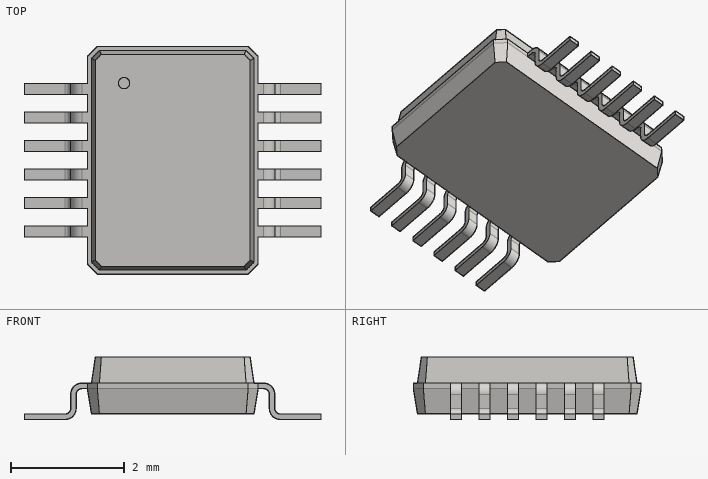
import cadquery as cq
import math

overall_span = 5.21
body_width = 3.0
body_length = 4.0
overall_height = 1.1
corner_cut = 0.175
cut_loss = 0.5

leads_per_side = 6
lead_pitch = 0.5
lead_width = 0.2
lead_thickness = 0.1
bend_inner_radius = 0.1
bend_outer_radius = bend_inner_radius + lead_thickness
shank_outer_x = 1.79
lead_top = 0.64

body_bottom = lead_thickness
band_top = lead_top
band_bottom = band_top - lead_thickness

ledge = 0.075
upper_draft = 0.07
lower_draft = 0.075
top_setback = ledge + upper_draft

mark_diameter = 0.2
mark_inset = 0.505
mark_depth = 0.045


def body_outline(level, setback):
    """Cut-corner rectangle at a height, with its sides set back from the band outline."""
    cut = corner_cut - setback * cut_loss
    half_x = body_width / 2 - setback
    half_y = body_length / 2 - setback
    return cq.Workplane("XY", origin=(0, 0, level)).polyline([
        (half_x, half_y - cut),
        (half_x - cut, half_y),
        (cut - half_x, half_y),
        (-half_x, half_y - cut),
        (-half_x, cut - half_y),
        (cut - half_x, -half_y),
        (half_x - cut, -half_y),
        (half_x, cut - half_y),
    ]).close()


def drafted_block(bottom, top, lower_setback, upper_setback):
    """Flat-sided block between two body outlines."""
    lower_wire = body_outline(bottom, lower_setback).val()
    upper_wire = body_outline(top, upper_setback).val()
    return cq.Workplane(obj=cq.Solid.makeLoft([lower_wire, upper_wire], True))


def make_body():
    """Lower half, straight middle band and stepped-in upper half."""
    lower = drafted_block(body_bottom, band_bottom, lower_draft, 0)
    band = body_outline(band_bottom, 0).extrude(lead_thickness)
    upper = drafted_block(band_top, overall_height, ledge, top_setback)
    return lower.union(band).union(upper)


def make_mark():
    """Shallow round pin 1 recess near the -X, +Y corner of the top face."""
    mark_x = top_setback + mark_inset - body_width / 2
    mark_y = body_length / 2 - top_setback - mark_inset
    return (
        cq.Workplane("XY", origin=(mark_x, mark_y, overall_height - mark_depth))
        .circle(mark_diameter / 2)
        .extrude(mark_depth)
    )


def make_lead(y_center):
    """Gull-wing lead on the +X side, ending under the wall of the upper half."""
    tip_x = overall_span / 2
    root_x = body_width / 2 - ledge
    shank_inner_x = shank_outer_x - lead_thickness
    foot_bend_x = shank_outer_x + bend_inner_radius
    shoulder_bend_x = shank_inner_x - bend_inner_radius
    foot_bend_z = bend_outer_radius
    shoulder_bend_z = lead_top - bend_outer_radius
    diagonal = math.sqrt(0.5)
    inner_mid = bend_inner_radius * diagonal
    outer_mid = bend_outer_radius * diagonal
    return (
        cq.Workplane("XZ", origin=(0, y_center, 0))
        .moveTo(root_x, lead_top)
        .lineTo(shoulder_bend_x, lead_top)
        .threePointArc(
            (shoulder_bend_x + outer_mid, shoulder_bend_z + outer_mid),
            (shank_outer_x, shoulder_bend_z),
        )
        .lineTo(shank_outer_x, foot_bend_z)
        .threePointArc(
            (foot_bend_x - inner_mid, foot_bend_z - inner_mid),
            (foot_bend_x, lead_thickness),
        )
        .lineTo(tip_x, lead_thickness)
        .lineTo(tip_x, 0)
        .lineTo(foot_bend_x, 0)
        .threePointArc(
            (foot_bend_x - outer_mid, foot_bend_z - outer_mid),
            (shank_inner_x, foot_bend_z),
        )
        .lineTo(shank_inner_x, shoulder_bend_z)
        .threePointArc(
            (shoulder_bend_x + inner_mid, shoulder_bend_z + inner_mid),
            (shoulder_bend_x, band_bottom),
        )
        .lineTo(root_x, band_bottom)
        .close()
        .extrude(lead_width / 2, both=True)
    )


result = make_body().cut(make_mark())
for index in range(leads_per_side):
    y_center = (index - (leads_per_side - 1) / 2) * lead_pitch
    lead = make_lead(y_center)
    result = result.union(lead).union(lead.mirror("YZ"))